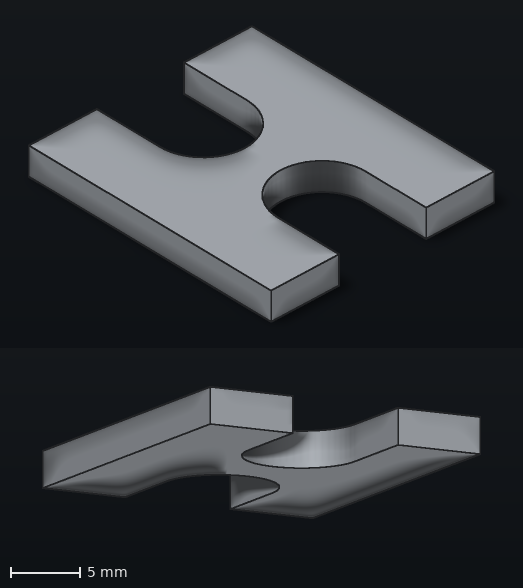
import cadquery as cq

length = 25.4
width = 22.1
thickness = 2.75
slot_width = 8.6
web_width = 3.84
web_offset = 0.13


def edge_slot(side):
    """Round-ended slot open at the +X (side=1) or -X (side=-1) edge."""
    inner_end = web_offset + side * web_width / 2
    outer_end = side * (length / 2 + slot_width)
    return (
        cq.Workplane("XY")
        .center((inner_end + outer_end) / 2, 0)
        .slot2D(abs(outer_end - inner_end), slot_width)
        .extrude(thickness)
    )


result = cq.Workplane("XY").rect(length, width).extrude(thickness)
for side in (-1, 1):
    result = result.cut(edge_slot(side))